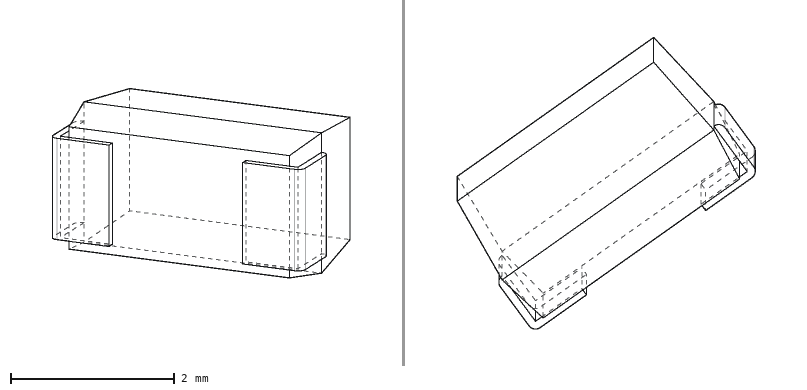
import cadquery as cq
import math

total_length = 3.4
body_width = 1.8
upper_depth = 1.1
lower_depth = 0.7
draft_inset = 0.115
terminal_thickness = 0.1
terminal_width = 1.3
pad_length = 0.8

body_length = total_length - 2 * terminal_thickness
outer_x = total_length / 2
inner_x = body_length / 2
pad_end_x = outer_x - pad_length
pad_top_y = -lower_depth
pad_bottom_y = pad_top_y - terminal_thickness


def make_body_half(end_y):
    """Drafted block from the full-size parting plane to a smaller face at Y = end_y."""
    return (
        cq.Workplane("XZ")
        .rect(body_length, body_width)
        .workplane(offset=-end_y)
        .rect(body_length - 2 * draft_inset, body_width - 2 * draft_inset)
        .loft(ruled=True)
    )


def make_terminal(side):
    """L-shaped strip on the +X (side = 1) or -X (side = -1) end of the body."""
    arc_reach = terminal_thickness * math.sqrt(0.5)
    tip_arc_middle = (side * (inner_x + arc_reach), -terminal_thickness + arc_reach)
    bend_arc_middle = (side * (inner_x + arc_reach), pad_top_y - arc_reach)
    return (
        cq.Workplane("XY", origin=(0, 0, -terminal_width / 2))
        .moveTo(side * inner_x, 0)
        .threePointArc(tip_arc_middle, (side * outer_x, -terminal_thickness))
        .lineTo(side * outer_x, pad_top_y)
        .threePointArc(bend_arc_middle, (side * inner_x, pad_bottom_y))
        .lineTo(side * pad_end_x, pad_bottom_y)
        .lineTo(side * pad_end_x, pad_top_y)
        .lineTo(side * inner_x, pad_top_y)
        .close()
        .extrude(terminal_width)
    )


upper_body = make_body_half(upper_depth)
lower_body = make_body_half(-lower_depth)
terminals = [make_terminal(side) for side in (-1, 1)]

result = cq.Compound.makeCompound(
    [upper_body.val(), lower_body.val(), *[terminal.val() for terminal in terminals]]
)